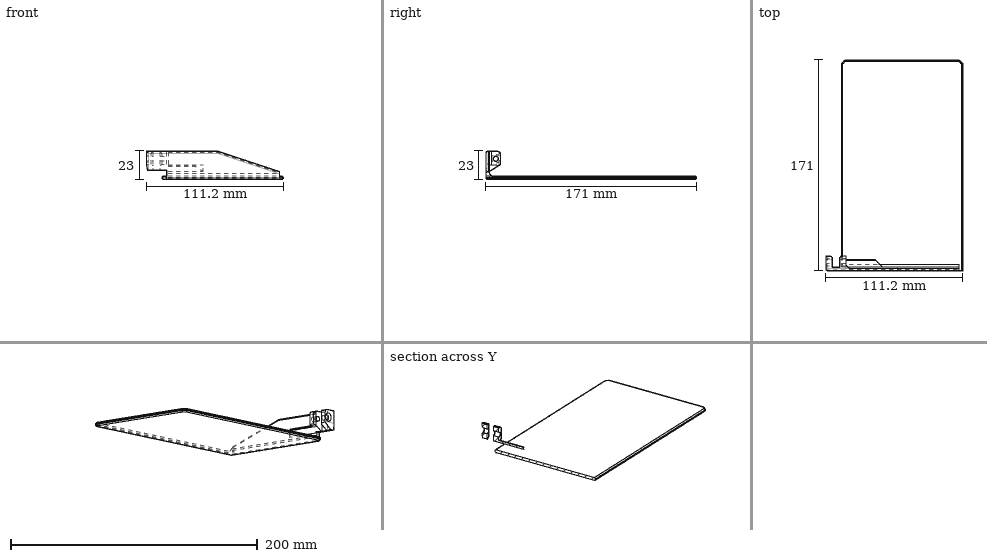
import cadquery as cq

length = 111.2
depth = 171.0
height = 23.0

plate_left = 12.7
plate_thickness = 2.9
plate_bevel = 1.0
plate_corner = 2.9

wall_thickness = 3.0
wall_front_radius = 1.7
wall_bottom_bevel = 1.2
wall_back_bevel = 1.0
wall_foot_bevel = 1.9
wall_left = 16.6
wall_right = 108.2
slope_start = 58.1
slope_end_height = 6.5

arm_bottom = 7.4
arm_bottom_bevel = 0.5
lug_width = 5.3
lug_depth = 12.0
lug_top_radius = 2.7
lug_corner = 1.4
lug_back_bottom = 12.3
underside_start = 4.1
second_lug_left = wall_left - lug_width
web_size = 2.5
arm_relief = 1.0
arm_relief_top = 12.8

hinge_front = (wall_front_radius + wall_thickness - wall_back_bevel) / 2

hole_diameter = 4.0
countersink_diameter = 6.8
hole_y = 8.0
hole_z = 17.0

shelf_top = 12.0
shelf_depth = 9.2
shelf_bevel = 0.7
shelf_right = 39.8


def extrude_along_x(points, start, end):
    """Extrude a (Y, Z) outline from X = start to X = end."""
    return cq.Workplane("YZ", origin=(start, 0, 0)).polyline(points).close().extrude(end - start)


def extrude_along_y(points, start, end):
    """Extrude an (X, Z) outline from Y = start to Y = end."""
    return cq.Workplane("XZ", origin=(0, start, 0)).polyline(points).close().extrude(start - end)


def underside_height(y):
    """Height of the sloping underside shared by the lugs and the shelf."""
    rise = (lug_back_bottom - arm_bottom) / (lug_depth - underside_start)
    return arm_bottom + rise * (y - underside_start)


def make_plate():
    plate = cq.Workplane("XY").box(length - plate_left, depth, plate_thickness, centered=False)
    plate = plate.translate((plate_left, 0, 0))
    plate = plate.edges("|Z and >Y").chamfer(plate_corner)
    top_and_bottom = plate.faces("<Z or >Z").edges("not <Y")
    plate = top_and_bottom.chamfer(plate_bevel)
    clearance = cq.Workplane("XY").box(wall_left, wall_thickness, plate_thickness, centered=False)
    return plate.cut(clearance)


def top_edges():
    """Select by midpoint the level and sloping edges along the top of the wall."""
    low_corner = (wall_left, -depth, slope_end_height + 1.7)
    high_corner = (wall_right - 1.7, depth, height + 1.7)
    return cq.selectors.BoxSelector(low_corner, high_corner)


def make_wall():
    outline = [
        (0, arm_bottom),
        (0, height),
        (slope_start, height),
        (wall_right, slope_end_height),
        (wall_right, 0),
        (wall_left, 0),
        (wall_left, arm_bottom),
    ]
    wall = extrude_along_y(outline, 0, wall_thickness)
    wall = wall.edges(">Y").edges(top_edges()).chamfer(wall_back_bevel)
    rounded_edges = top_edges() + cq.StringSyntaxSelector("<X")
    return wall.edges("<Y").edges(rounded_edges).fillet(wall_front_radius)


def make_foot():
    foot_back = wall_thickness + wall_foot_bevel
    foot = [
        (wall_thickness, 0),
        (foot_back, plate_thickness),
        (wall_thickness, plate_thickness + wall_foot_bevel),
    ]
    return extrude_along_x(foot, wall_left, wall_right)


def make_lug(left, slot_side):
    profile = [
        (hinge_front, arm_bottom),
        (underside_start, arm_bottom),
        (lug_depth, lug_back_bottom),
        (lug_depth, height),
        (hinge_front, height),
    ]
    lug = extrude_along_x(profile, left, left + lug_width)
    lug = lug.edges("|Z and >Y").edges(slot_side).chamfer(lug_corner)
    return lug.edges(">Y").edges(">Z").fillet(lug_top_radius)


def make_hinge():
    hinge = make_lug(0, ">X").union(make_lug(second_lug_left, "<X"))
    bridge_depth = wall_thickness - hinge_front
    bridge = cq.Workplane("XY").box(wall_left, bridge_depth, height - arm_bottom, centered=False)
    hinge = hinge.union(bridge.translate((0, hinge_front, arm_bottom)))
    web = (
        cq.Workplane("XY", origin=(wall_left, hinge_front, arm_bottom))
        .polyline([(0, 0), (web_size, 0), (0, web_size)])
        .close()
        .extrude(height - arm_bottom)
    )
    return hinge.union(web)


def make_shelf():
    profile = [
        (wall_thickness, underside_height(wall_thickness)),
        (shelf_depth, underside_height(shelf_depth)),
        (shelf_depth, shelf_top - shelf_bevel),
        (shelf_depth - shelf_bevel, shelf_top),
        (wall_thickness, shelf_top),
    ]
    shelf_reach = shelf_depth - wall_thickness
    shelf = extrude_along_x(profile, wall_left, shelf_right + shelf_reach)
    plan = [
        (wall_left, wall_thickness),
        (shelf_right + shelf_reach, wall_thickness),
        (shelf_right, shelf_depth),
        (wall_left, shelf_depth),
    ]
    return shelf.intersect(cq.Workplane("XY").polyline(plan).close().extrude(height))


def make_hole():
    hole = cq.Workplane("YZ").center(hole_y, hole_z).circle(hole_diameter / 2).extrude(wall_left)
    sink_depth = (countersink_diameter - hole_diameter) / 2
    sink = cq.Solid.makeCone(
        countersink_diameter / 2,
        hole_diameter / 2,
        sink_depth,
        cq.Vector(0, hole_y, hole_z),
        cq.Vector(1, 0, 0),
    )
    return hole.union(cq.Workplane(sink))


def make_arm_relief():
    wedge = [(0, arm_bottom), (arm_relief, arm_bottom), (0, arm_relief_top)]
    return extrude_along_y(wedge, 0, lug_depth)


def make_bottom_bevel(size, bottom, start, end):
    """Cutter for the front edge at the given bottom height."""
    corner = [(0, bottom), (size, bottom), (0, bottom + size)]
    return extrude_along_x(corner, start, end)


result = make_plate().union(make_wall()).union(make_foot())
result = result.union(make_hinge()).union(make_shelf())
result = result.cut(make_hole()).cut(make_arm_relief())
result = result.cut(make_bottom_bevel(wall_bottom_bevel, 0, wall_left, length))
result = result.cut(make_bottom_bevel(arm_bottom_bevel, arm_bottom, 0, wall_left))